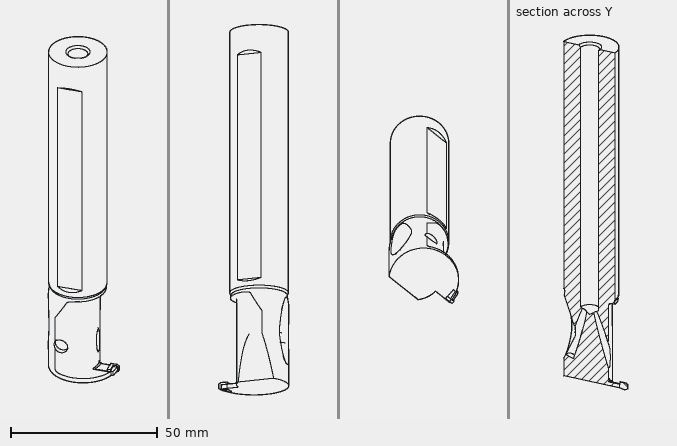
import cadquery as cq
import math

total_length = 125.0
shank_radius = 10.0
shank_bottom = 33.0
shank_chamfer_height = 0.9
shank_flat_offset = 9.0
flat_bottom = 35.8
flat_top = 115.1

head_bottom = 0.4
head_top = shank_bottom - shank_chamfer_height
head_top_radius = 9.6
head_cone_slope = 0.15
swing_radius = 11.9
swing_center_x = 1.9
neck_radius = 10.0
neck_center_x = -2.5
foot_top = 2.1
shoulder_height = 31.1
neck_fillet = 0.8
foot_back_y = 0.4
relief_slope = 0.2
relief_bottom_y = 6.6

bore_radius = 3.4
bore_floor = 27.5
bore_tip_angle = 118.0
bore_chamfer = 0.8
coolant_radius = 1.5
coolant_paths = [
    ((-1.6, -1.4, bore_floor), (-7.6, 0.5, 8.1)),
    ((2.0, -1.5, bore_floor), (8.8, -0.2, 7.5)),
]

recess_radius = 5.4
recess_setback = 1.0
recess_y = -0.9
recess_bottom = 6.9
recess_low_bend = 15.9
recess_high_bend = 19.2
recess_top = 31.0

socket_radius = 2.5
socket_x = -3.0
socket_z = 12.6
socket_floor_y = -8.0

insert_inner_x = 11.8
insert_face_y = 0.1
insert_back_y = -4.0
insert_top = 2.8
insert_land_y = -0.9
insert_land_step = 0.4
insert_flank_relief = 0.5
insert_rib_x = 12.9
insert_shelf_z = 2.2
insert_tip_x = 13.5
insert_outer_x = 14.8
insert_bottom_corner_z = 0.6
insert_top_corner_z = 2.2
insert_top_corner_x = 14.0
seat_front_y = -4.1
seat_inner_x = 6.8
seat_depth = 0.2

beyond = 25.0


def box_between(low, high):
    """Box with opposite corners at the points low and high."""
    size = [b - a for a, b in zip(low, high)]
    return cq.Workplane("XY").box(*size, centered=False).translate(low)


def upright_cylinder(radius, center_x, bottom, top):
    """Cylinder along Z with its axis at Y = 0."""
    return cq.Workplane("XY", origin=(center_x, 0, bottom)).circle(radius).extrude(top - bottom)


def make_shank():
    profile = [
        (0, head_top),
        (head_top_radius, head_top),
        (shank_radius, shank_bottom),
        (shank_radius, total_length),
        (0, total_length),
    ]
    shank = cq.Workplane("XZ").polyline(profile).close().revolve(360, (0, 0), (0, 1))
    for side in (-1, 1):
        shank = shank.cut(shank_flat(side))
    return shank


def shank_flat(side):
    """Cutter for the long flat on the +Y or -Y side, with ends sloping out at 45 degrees."""
    reach = 2 * shank_radius - shank_flat_offset
    profile = [
        (side * shank_flat_offset, flat_bottom),
        (side * (shank_flat_offset + reach), flat_bottom - reach),
        (side * (shank_flat_offset + reach), flat_top + reach),
        (side * shank_flat_offset, flat_top),
    ]
    return cq.Workplane("YZ").polyline(profile).close().extrude(shank_radius, both=True)


def make_head():
    cone_bottom_radius = head_top_radius + head_cone_slope * (head_top - head_bottom)
    cone_profile = [
        (0, head_bottom),
        (cone_bottom_radius, head_bottom),
        (head_top_radius, head_top),
        (0, head_top),
    ]
    cone = cq.Workplane("XZ").polyline(cone_profile).close().revolve(360, (0, 0), (0, 1))
    swing_disc = upright_cylinder(swing_radius, swing_center_x, head_bottom, head_top)
    head = swing_disc.intersect(cone)
    return head.cut(neck_clearance()).cut(foot_clearance()).cut(back_relief())


def neck_clearance():
    """Ring around the neck, rounded where it meets the foot and the shoulder."""
    outer_radius = neck_radius + beyond
    straight_x = neck_radius + neck_fillet
    bend = neck_fillet * (1 - math.sqrt(0.5))
    low_end = foot_top + neck_fillet
    high_end = shoulder_height - neck_fillet
    section = (
        cq.Workplane("XZ", origin=(neck_center_x, 0, 0))
        .moveTo(outer_radius, foot_top)
        .lineTo(straight_x, foot_top)
        .threePointArc((neck_radius + bend, foot_top + bend), (neck_radius, low_end))
        .lineTo(neck_radius, high_end)
        .threePointArc((neck_radius + bend, shoulder_height - bend), (straight_x, shoulder_height))
        .lineTo(outer_radius, shoulder_height)
        .close()
    )
    return section.revolve(360, (0, 0), (0, 1))


def foot_clearance():
    """Removes the foot on the +Y side, leaving only the neck there."""
    top = foot_top + 2 * neck_fillet
    block = box_between((neck_center_x, foot_back_y, 0), (beyond, beyond, top))
    return block.cut(upright_cylinder(neck_radius, neck_center_x, 0, top))


def back_relief():
    """Wedge that slopes the +Y side of the head inward toward the bottom."""
    top_y = relief_bottom_y + relief_slope * (head_top - head_bottom)
    profile = [
        (relief_bottom_y, head_bottom),
        (beyond, head_bottom),
        (beyond, head_top),
        (top_y, head_top),
    ]
    return cq.Workplane("YZ").polyline(profile).close().extrude(beyond, both=True)


def bore():
    tip_depth = bore_radius / math.tan(math.radians(bore_tip_angle / 2))
    profile = [
        (0, bore_floor - tip_depth),
        (bore_radius, bore_floor),
        (bore_radius, total_length - bore_chamfer),
        (bore_radius + bore_chamfer, total_length),
        (0, total_length),
    ]
    return cq.Workplane("XZ").polyline(profile).close().revolve(360, (0, 0), (0, 1))


def coolant_hole(start, end):
    """Straight round hole between two points."""
    path = cq.Vector(*end) - cq.Vector(*start)
    return cq.Workplane(cq.Solid.makeCylinder(coolant_radius, path.Length, cq.Vector(*start), path))


def recess_circle(x, z):
    """Level circle that starts on its -X side, which keeps the seam out of the part."""
    frame = cq.Plane((x, recess_y, z), xDir=(-1, 0, 0), normal=(0, 0, 1))
    return cq.Workplane(frame).circle(recess_radius).wires().val()


def chip_recess():
    """Round trough whose axis leans out of the -X side at both ends."""
    rim_x = swing_center_x - swing_radius
    centers = [
        (rim_x - recess_radius, recess_bottom),
        (rim_x - recess_setback, recess_low_bend),
        (rim_x - recess_setback, recess_high_bend),
        (rim_x - recess_radius, recess_top),
    ]
    trough = cq.Workplane()
    for low, high in zip(centers, centers[1:]):
        circles = [recess_circle(x, z) for x, z in (low, high)]
        trough = trough.add(cq.Solid.makeLoft(circles, True))
    return trough.combine()


def socket():
    plane = cq.Workplane("XZ", origin=(socket_x, socket_floor_y, socket_z))
    return plane.circle(socket_radius).extrude(beyond)


def insert_seat():
    """Shallow step across the top of the foot."""
    low = (seat_inner_x, seat_front_y, foot_top - seat_depth)
    high = (beyond, beyond, foot_top)
    step = box_between(low, high)
    return step.cut(upright_cylinder(neck_radius, neck_center_x, 0, shoulder_height))


def make_insert():
    """Cutting insert: a full-width land behind the cutting face, then a narrower tapered back."""
    land_profile = [
        (insert_inner_x, head_bottom),
        (insert_tip_x, 0),
        (insert_outer_x, insert_bottom_corner_z),
        (insert_outer_x, insert_top_corner_z),
        (insert_top_corner_x, insert_top),
        (insert_inner_x, insert_top),
    ]
    face = cq.Workplane("XZ", origin=(0, insert_face_y, 0))
    land = face.polyline(land_profile).close().extrude(insert_face_y - insert_land_y)
    sections = [
        insert_back_section(insert_land_y, insert_land_step),
        insert_back_section(insert_back_y, insert_land_step + insert_flank_relief),
    ]
    return land.union(cq.Workplane(cq.Solid.makeLoft(sections, True)))


def insert_back_section(y, relief):
    """Stepped outline of the insert behind its land, drawn in at the outer end by relief."""
    points = [
        (insert_inner_x, head_bottom),
        (insert_tip_x - relief, head_bottom),
        (insert_outer_x - relief, insert_bottom_corner_z),
        (insert_outer_x - relief, insert_shelf_z),
        (insert_rib_x, insert_shelf_z),
        (insert_rib_x, insert_top),
        (insert_inner_x, insert_top),
    ]
    return cq.Wire.makePolygon([cq.Vector(x, y, z) for x, z in points], close=True)


insert = make_insert()

holder = make_shank().union(make_head())
holder = holder.cut(bore()).cut(chip_recess()).cut(socket()).cut(insert_seat())
for start, end in coolant_paths:
    holder = holder.cut(coolant_hole(start, end))
holder = holder.cut(insert)

result = cq.Compound.makeCompound([holder.val(), insert.val()])